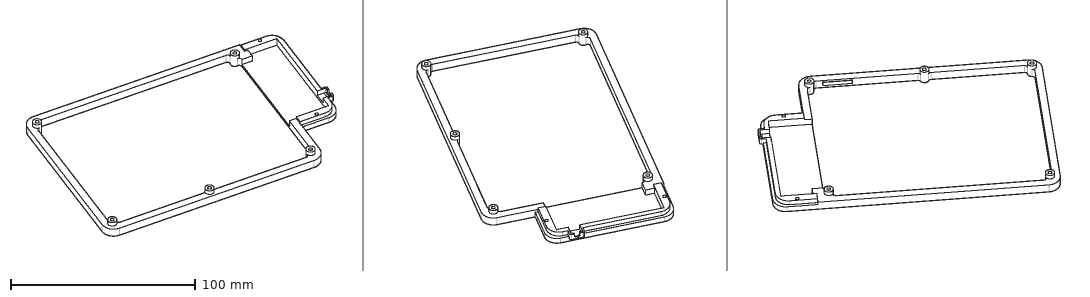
import cadquery as cq
import math

FRAME_LENGTH_X = 101.6
FRAME_LENGTH_Y = 133.0
FRAME_HEIGHT = 5.2
FRAME_WALL = 4.3
OUTER_CORNER_RADIUS = 7.0
WINDOW_RIGHT = FRAME_LENGTH_X - FRAME_WALL
WINDOW_BACK = FRAME_LENGTH_Y - FRAME_WALL

TRAY_WIDTH = 73.0
TRAY_BACK = 157.0
TRAY_BASE_HEIGHT = 3.5
TRAY_FLOOR = 1.5
RIM_INSET = 1.6
RIM_TOP = 6.3
POCKET_SIDE_WALL = 6.0
POCKET_LEFT = POCKET_SIDE_WALL
POCKET_RIGHT = TRAY_WIDTH - POCKET_SIDE_WALL
POCKET_BACK = 152.7

PAD_RIGHT = 11.2
PAD_BACK = 135.0

PIN_HOLE_DIAMETER = 1.8
PIN_HOLE_EDGE_DISTANCE = 3.0
PIN_HOLE_Y = 144.0

BOSS_DIAMETER = 5.0
BOSS_TOP = 7.7
BOSS_HOLE_DIAMETER = 2.0
BOSS_BLEND_RADIUS = 1.5
FRONT_LEFT_BOSS = (7.2, 5.6)
FRONT_RIGHT_BOSS = (96.1, 5.5)
BACK_RIGHT_BOSS = (95.0, 127.2)
BACK_LEFT_BOSS = (7.2, 126.4)
SIDE_BOSS = (97.6, 64.1)
WINDOW_CORNERS = {
    FRONT_LEFT_BOSS: (FRAME_WALL, FRAME_WALL),
    FRONT_RIGHT_BOSS: (WINDOW_RIGHT, FRAME_WALL),
    BACK_RIGHT_BOSS: (WINDOW_RIGHT, WINDOW_BACK),
    BACK_LEFT_BOSS: (FRAME_WALL, WINDOW_BACK),
}

HOUSING_CENTER_X = 57.0
HOUSING_BACK = 159.0
HOUSING_WALL = 1.0
HOUSING_CAVITY_WIDTH = 6.5
HOUSING_WIDTH = HOUSING_CAVITY_WIDTH + 2 * HOUSING_WALL
HOUSING_BOTTOM = 2.7
HOUSING_FLOOR = 3.2
HOUSING_CORNER_RADIUS = 1.0
CABLE_NOTCH_WIDTH = 3.2
CABLE_NOTCH_AXIS_Z = 5.2

RECESS_FRONT = 103.5
RECESS_LENGTH = 16.0
RECESS_BOTTOM = 1.5
RECESS_HEIGHT = 2.5
RECESS_DEPTH = 2.5


def block(x_range, y_range, z_range):
    """Axis-aligned block between the given limits."""
    size = [high - low for low, high in (x_range, y_range, z_range)]
    corner = (x_range[0], y_range[0], z_range[0])
    return cq.Workplane("XY").box(*size, centered=False).translate(corner)


def cylinder(center, diameter, bottom, top):
    """Vertical cylinder at an (x, y) position."""
    return cq.Workplane("XY", origin=(*center, bottom)).circle(diameter / 2).extrude(top - bottom)


def make_frame():
    outer = block((0, FRAME_LENGTH_X), (0, FRAME_LENGTH_Y), (0, FRAME_HEIGHT))
    outer = outer.edges("|Z and (<Y or >X)").fillet(OUTER_CORNER_RADIUS)
    window = block((FRAME_WALL, WINDOW_RIGHT), (FRAME_WALL, WINDOW_BACK), (0, FRAME_HEIGHT))
    return outer.cut(window)


def blend_offset(wall_distance):
    """Distance along a wall between a boss axis and the center of the arc blending boss and wall."""
    reach = BOSS_DIAMETER / 2 + BOSS_BLEND_RADIUS
    return math.sqrt(reach**2 - (wall_distance - BOSS_BLEND_RADIUS) ** 2)


def make_support(outline, blend_centers):
    """Frame-high web with the given outline, hollowed by the blend arcs."""
    support = cq.Workplane("XY").polyline(outline).close().extrude(FRAME_HEIGHT)
    for center in blend_centers:
        support = support.cut(cylinder(center, 2 * BOSS_BLEND_RADIUS, 0, FRAME_HEIGHT))
    return support


def make_corner_support(boss, corner):
    """Fill between a window corner and its boss, blended into both walls."""
    toward_x = math.copysign(1, boss[0] - corner[0])
    toward_y = math.copysign(1, boss[1] - corner[1])
    side_blend = (
        corner[0] + toward_x * BOSS_BLEND_RADIUS,
        boss[1] + toward_y * blend_offset(abs(boss[0] - corner[0])),
    )
    end_blend = (
        boss[0] + toward_x * blend_offset(abs(boss[1] - corner[1])),
        corner[1] + toward_y * BOSS_BLEND_RADIUS,
    )
    outline = [corner, (corner[0], side_blend[1]), side_blend, boss, end_blend, (end_blend[0], corner[1])]
    return make_support(outline, [side_blend, end_blend])


def make_side_support():
    """Blend the side boss into the right-hand wall; the outline runs through to the outer face."""
    x, y = SIDE_BOSS
    offset = blend_offset(WINDOW_RIGHT - x)
    blend_x = WINDOW_RIGHT - BOSS_BLEND_RADIUS
    front_blend = (blend_x, y - offset)
    back_blend = (blend_x, y + offset)
    outer_front = (FRAME_LENGTH_X, y - offset)
    outer_back = (FRAME_LENGTH_X, y + offset)
    outline = [outer_front, front_blend, SIDE_BOSS, back_blend, outer_back]
    return make_support(outline, [front_blend, back_blend])


def make_tray():
    base = block((0, TRAY_WIDTH), (WINDOW_BACK, TRAY_BACK), (0, TRAY_BASE_HEIGHT))
    base = base.edges("|Z and >Y").fillet(OUTER_CORNER_RADIUS)
    rim = block(
        (RIM_INSET, TRAY_WIDTH - RIM_INSET),
        (FRAME_LENGTH_Y, TRAY_BACK - RIM_INSET),
        (TRAY_BASE_HEIGHT, RIM_TOP),
    )
    rim = rim.edges("|Z and >Y").fillet(OUTER_CORNER_RADIUS)
    return base.union(rim)


def make_pocket():
    """Pocket volume, leaving the corner pad standing at frame height."""
    pocket = block((POCKET_LEFT, POCKET_RIGHT), (WINDOW_BACK, POCKET_BACK), (TRAY_FLOOR, RIM_TOP))
    pad = block((POCKET_LEFT, PAD_RIGHT), (WINDOW_BACK, PAD_BACK), (TRAY_FLOOR, FRAME_HEIGHT))
    return pocket.cut(pad)


def make_housing():
    half_width = HOUSING_WIDTH / 2
    housing = block(
        (HOUSING_CENTER_X - half_width, HOUSING_CENTER_X + half_width),
        (POCKET_BACK, HOUSING_BACK),
        (HOUSING_BOTTOM, RIM_TOP),
    )
    return housing.edges("|Z and >Y").fillet(HOUSING_CORNER_RADIUS)


def make_housing_cavity():
    """Cavity open to the pocket and the top, with a round-bottomed cable notch in the end wall."""
    half_width = HOUSING_CAVITY_WIDTH / 2
    cavity = block(
        (HOUSING_CENTER_X - half_width, HOUSING_CENTER_X + half_width),
        (POCKET_BACK, HOUSING_BACK - HOUSING_WALL),
        (HOUSING_FLOOR, RIM_TOP),
    )
    half_notch = CABLE_NOTCH_WIDTH / 2
    notch = (
        cq.Workplane("XZ", origin=(HOUSING_CENTER_X, HOUSING_BACK, 0))
        .moveTo(-half_notch, RIM_TOP)
        .lineTo(-half_notch, CABLE_NOTCH_AXIS_Z)
        .threePointArc((0, CABLE_NOTCH_AXIS_Z - half_notch), (half_notch, CABLE_NOTCH_AXIS_Z))
        .lineTo(half_notch, RIM_TOP)
        .close()
        .extrude(HOUSING_WALL)
    )
    return cavity.union(notch)


def make_recess():
    return block(
        (WINDOW_RIGHT, WINDOW_RIGHT + RECESS_DEPTH),
        (RECESS_FRONT, RECESS_FRONT + RECESS_LENGTH),
        (RECESS_BOTTOM, RECESS_BOTTOM + RECESS_HEIGHT),
    )


def add_bosses(body):
    for center in [*WINDOW_CORNERS, SIDE_BOSS]:
        body = body.union(cylinder(center, BOSS_DIAMETER, 0, BOSS_TOP))
        body = body.cut(cylinder(center, BOSS_HOLE_DIAMETER, 0, BOSS_TOP))
    return body


def cut_pin_holes(body):
    for x in (PIN_HOLE_EDGE_DISTANCE, TRAY_WIDTH - PIN_HOLE_EDGE_DISTANCE):
        body = body.cut(cylinder((x, PIN_HOLE_Y), PIN_HOLE_DIAMETER, 0, RIM_TOP))
    return body


body = make_frame().union(make_tray())
body = body.cut(make_pocket())
body = body.union(make_housing())
body = body.cut(make_housing_cavity())
body = body.cut(make_recess())
for boss, corner in WINDOW_CORNERS.items():
    body = body.union(make_corner_support(boss, corner))
body = body.union(make_side_support())
body = add_bosses(body)
result = cut_pin_holes(body)